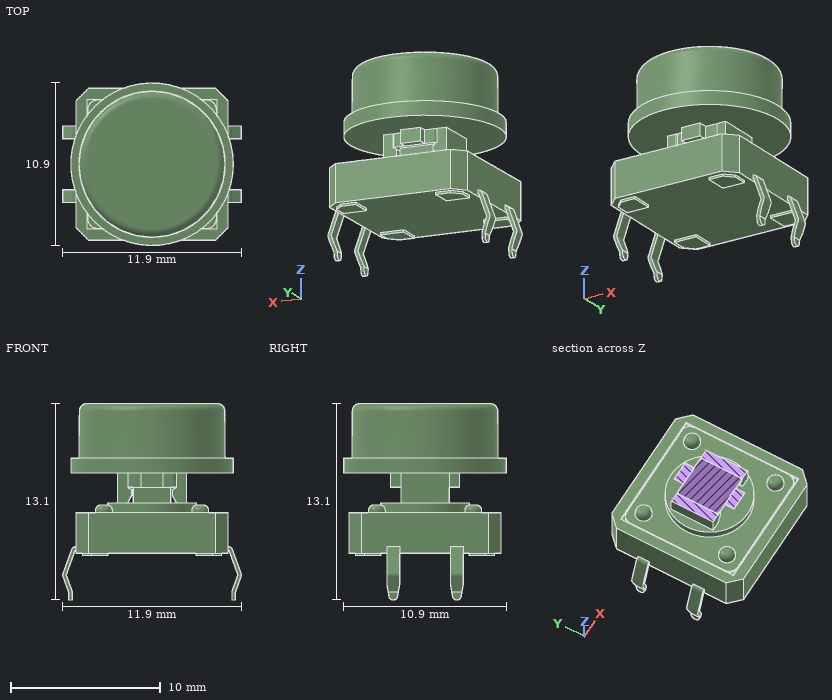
import cadquery as cq
import math


housing_width = 10.17
housing_height = 2.72
housing_chamfer = 0.85
recess_width = 8.67
foot_outer = 4.65
foot_inner = 2.94
foot_chamfer = 0.62
foot_height = 0.16

cover_thickness = 0.16
cover_width = 8.58
cover_corner_radius = 0.66
rivet_offset = 3.22
rivet_radius = 0.57
rivet_height = 0.51
rivet_dome_radius = 0.37

disc_radius = 2.97
disc_height = 0.65
neck_width = 2.52
head_width = 3.23
head_corner_radius = 0.26
head_bottom = 4.4

flange_diameter = 10.87
flange_bottom = 5.35
flange_height = 1.01
crown_bottom_radius = 4.89
crown_top_radius = 4.86
cap_top = 10.01
crown_fillet = 0.53
finger_reach = 2.31
barb_depth = 0.26
barb_slope_height = 0.15
barb_land_height = 0.4
tab_width = 1.45

leg_span = 11.95
leg_pitch = 4.25
leg_width = 0.87
leg_thickness = 0.25
leg_top = 0.45
leg_bottom = -3.13
leg_knee_height = -1.45
leg_slope = 20.0
leg_end_reach = 5.57
root_bend_radius = 0.3
knee_bend_radius = 0.28
taper_start = -2.09
tip_radius = 0.3

cover_bottom = housing_height - cover_thickness
disc_top = housing_height + disc_height
flange_top = flange_bottom + flange_height
head_top = flange_top
head_height = head_top - head_bottom
quadrants = [(x, y) for x in (-1, 1) for y in (-1, 1)]


def make_housing():
    body = (
        cq.Workplane("XY")
        .rect(housing_width, housing_width)
        .extrude(housing_height)
        .edges("|Z")
        .chamfer(housing_chamfer)
    )
    recess = (
        cq.Workplane("XY", origin=(0, 0, cover_bottom))
        .rect(recess_width, recess_width)
        .extrude(cover_thickness)
    )
    body = body.cut(recess)
    foot_width = foot_outer - foot_inner
    foot_center = (foot_outer + foot_inner) / 2
    for x_side, y_side in quadrants:
        outer_corner = (">" if x_side > 0 else "<") + "X and " + (">" if y_side > 0 else "<") + "Y"
        foot = (
            cq.Workplane("XY", origin=(x_side * foot_center, y_side * foot_center, -foot_height))
            .rect(foot_width, foot_width)
            .extrude(foot_height)
            .edges(outer_corner)
            .chamfer(foot_chamfer)
        )
        body = body.union(foot)
    return body


def make_cover():
    plate = (
        cq.Workplane("XY", origin=(0, 0, cover_bottom))
        .rect(cover_width, cover_width)
        .extrude(cover_thickness)
        .edges("|Z")
        .fillet(cover_corner_radius)
    )
    rivets = (
        cq.Workplane("XY", origin=(0, 0, housing_height))
        .rect(2 * rivet_offset, 2 * rivet_offset, forConstruction=True)
        .vertices()
        .circle(rivet_radius)
        .extrude(rivet_height)
        .faces(">Z")
        .edges()
        .fillet(rivet_dome_radius)
    )
    plunger_hole = (
        cq.Workplane("XY", origin=(0, 0, cover_bottom))
        .circle(disc_radius)
        .extrude(cover_thickness)
    )
    return plate.union(rivets).cut(plunger_hole)


def make_plunger_head():
    return (
        cq.Workplane("XY", origin=(0, 0, head_bottom))
        .rect(head_width, head_width)
        .extrude(head_height)
        .edges("|Z")
        .fillet(head_corner_radius)
    )


def make_plunger():
    disc = (
        cq.Workplane("XY", origin=(0, 0, cover_bottom))
        .circle(disc_radius)
        .extrude(disc_top - cover_bottom)
    )
    neck = (
        cq.Workplane("XY", origin=(0, 0, disc_top))
        .rect(neck_width, neck_width)
        .extrude(head_bottom - disc_top)
    )
    return disc.union(neck).union(make_plunger_head())


def make_snap_finger():
    """Finger on the +X side, with a barb that hooks under the plunger head."""
    inner_face = head_width / 2
    barb_face = inner_face - barb_depth
    land_top = head_bottom - barb_slope_height
    outline = [
        (finger_reach, flange_bottom),
        (inner_face, flange_bottom),
        (inner_face, head_bottom),
        (barb_face, land_top),
        (barb_face, land_top - barb_land_height),
        (inner_face, disc_top),
        (finger_reach, disc_top),
    ]
    return cq.Workplane("XZ").polyline(outline).close().extrude(head_width / 2, both=True)


def make_cap():
    flange = (
        cq.Workplane("XY", origin=(0, 0, flange_bottom))
        .circle(flange_diameter / 2)
        .extrude(flange_height)
    )
    crown = (
        cq.Workplane("XZ")
        .moveTo(0, flange_top)
        .lineTo(crown_bottom_radius, flange_top)
        .lineTo(crown_top_radius, cap_top)
        .lineTo(0, cap_top)
        .close()
        .revolve(360, (0, 0), (0, 1))
        .faces(">Z")
        .edges()
        .fillet(crown_fillet)
    )
    tabs = (
        cq.Workplane("XY", origin=(0, 0, head_bottom))
        .rect(tab_width, 2 * finger_reach)
        .extrude(flange_bottom - head_bottom)
    )
    finger = make_snap_finger()
    cap = flange.union(crown).union(tabs).union(finger).union(finger.mirror("YZ"))
    return cap.cut(make_plunger_head())


def make_leg(x_side, y_center):
    """Bent strip leg that leaves the housing side face and ends in a rounded, tapered tip."""
    housing_face = housing_width / 2
    slope = math.tan(math.radians(leg_slope))
    knee_rounding = knee_bend_radius * (1 / math.cos(math.radians(leg_slope)) - 1)
    knee_reach = leg_span / 2 + knee_rounding
    root_reach = knee_reach - (leg_top - leg_knee_height) * slope
    end_bend_height = leg_knee_height - (knee_reach - leg_end_reach) / slope

    slant_thickness = leg_thickness / math.cos(math.radians(leg_slope))
    root_inner_height = leg_top - leg_thickness
    root_inner_reach = root_reach + leg_thickness * slope - slant_thickness
    end_inner_reach = leg_end_reach - leg_thickness
    knee_inner_reach = knee_reach - slant_thickness
    end_inner_height = leg_knee_height - (knee_inner_reach - end_inner_reach) / slope

    outline = [
        (housing_face, leg_top),
        (root_reach, leg_top),
        (knee_reach, leg_knee_height),
        (leg_end_reach, end_bend_height),
        (leg_end_reach, leg_bottom),
        (end_inner_reach, leg_bottom),
        (end_inner_reach, end_inner_height),
        (knee_inner_reach, leg_knee_height),
        (root_inner_reach, root_inner_height),
        (housing_face, root_inner_height),
    ]
    strip = cq.Workplane("XZ").polyline(outline).close().extrude(leg_width / 2, both=True)

    bends = [
        ((root_reach, 0, leg_top), root_bend_radius),
        ((root_inner_reach, 0, root_inner_height), root_bend_radius - leg_thickness),
        ((knee_reach, 0, leg_knee_height), knee_bend_radius),
        ((knee_inner_reach, 0, leg_knee_height), knee_bend_radius - leg_thickness),
    ]
    for corner, radius in bends:
        strip = strip.edges(cq.selectors.NearestToPointSelector(corner)).fillet(radius)

    tip_start = leg_bottom + tip_radius
    blade = (
        cq.Workplane("YZ")
        .moveTo(-leg_width / 2, leg_top)
        .lineTo(-leg_width / 2, taper_start)
        .lineTo(-tip_radius, tip_start)
        .threePointArc((0, leg_bottom), (tip_radius, tip_start))
        .lineTo(leg_width / 2, taper_start)
        .lineTo(leg_width / 2, leg_top)
        .close()
        .extrude(leg_span)
    )
    leg = strip.intersect(blade)
    if x_side < 0:
        leg = leg.mirror("YZ")
    return leg.translate((0, y_center, 0))


housing = make_housing()
cover = make_cover()
plunger = make_plunger()
cap = make_cap()
legs = [make_leg(x_side, y_side * leg_pitch / 2) for x_side, y_side in quadrants]

bodies = [housing, cover, plunger, cap, *legs]
result = cq.Compound.makeCompound([body.solids().val() for body in bodies])